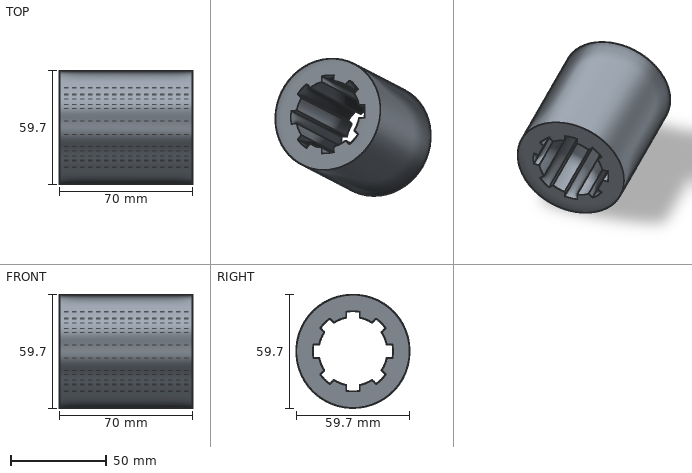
import cadquery as cq

LENGTH = 70.0
OUTER_DIAMETER = 59.7
BORE_DIAMETER = 36.0

GROOVE_COUNT = 8
GROOVE_WIDTH = 7.0
GROOVE_FLOOR_DIAMETER = 42.0
GROOVE_ANGLE = 360.0 / GROOVE_COUNT


def make_cylinder(diameter):
    """Full-length cylinder along X."""
    return cq.Workplane("YZ", origin=(-LENGTH / 2, 0, 0)).circle(diameter / 2).extrude(LENGTH)


def make_groove_pair(angle):
    """Round-ended bar that cuts two opposite grooves, turned about X by the angle."""
    bar = cq.Workplane("XY").box(LENGTH, GROOVE_WIDTH, GROOVE_FLOOR_DIAMETER)
    rounded_bar = bar.intersect(make_cylinder(GROOVE_FLOOR_DIAMETER))
    return rounded_bar.rotate((0, 0, 0), (1, 0, 0), angle)


result = make_cylinder(OUTER_DIAMETER).cut(make_cylinder(BORE_DIAMETER))
for pair in range(GROOVE_COUNT // 2):
    result = result.cut(make_groove_pair(pair * GROOVE_ANGLE))